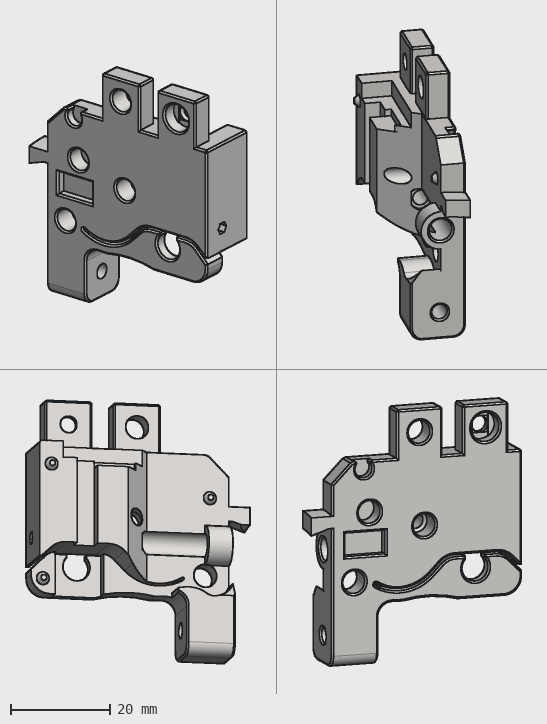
import cadquery as cq
import math


plate_right = 40.8
plate_top = 42.15
plate_depth = 5.1
corner_cut = 4.45
corner_cut_end = (4.15, 41.9)
corner_facet_end = 4.9
edge = 0.39
overlap = 0.5
reach = 62.55

tab_top = 52.1
tab_width = 9.75
tab_depth = 4.9
tab_left_x, tab_right_x = 18.85, 33.0
tab_hole_z = 47.25
counterbore_diameter = 6.0
counterbore_depth = 3.15
bridge_layer = 0.2

leg_width = 10.0
leg_depth = 11.35
leg_round = 2.5
leg_fillet = 2.9
leg_fillet_start = 9.85
leg_hole_y, leg_hole_z = 5.3, 5.8
screw_diameter = 3.2
dip_radius = 5.3
dip_end_angle = 259
dip_turn = (5.0, 12.15)
rise_middle = (6.0, 12.6)
rise_upper = (8.0, 13.5)
sill_left = (10.2, 13.65)
sill_right = (11.75, 13.5)
bevel_low, bevel_high = (11.45, 12.15), (7.7, 16.9)
bevel_length = 3.85

arm_bottom = 12.35
arm_tip_radius = 3.75
arm_root_bottom = 12.7
arm_hump = (20.5, 13.25)
arm_hump_start = 15.4
arm_flat_start = 27.15
arm_thin_depth = 2.55
arm_thin_width = 10.0
slit_width = 0.5
slit_valley = (14.6, 15.1)
slit_valley_radius = 9.65
slit_root_x = 9.5
slit_crest_z = 21.25
slit_crest_radius = 4.25
slit_crest_end = 35.35
slit_mouth_z = 18.5
clip_x, clip_z = 30.85, 18.5
clip_diameter = 5.6
clip_neck = 4.1

block_back = 13.2
ramp_start, ramp_end = 16.95, 22.5
upper_step_right, upper_step_y, upper_step_z = 35.9, 7.0, 38.9
lower_step_left, lower_step_y, lower_step_z = 20.3, 8.75, 37.5
notch_left, notch_right = 28.9, 33.1
notch_floor_y = 10.0

pin_hole_diameter = 4.7
pivot_x, pivot_z = 4.85, 17.35
blind_x, blind_z, blind_depth = 8.15, 31.55, 4.0
bore_x, bore_z = 19.9, 28.0
bore_diameter = 3.4
bore_wide_depth = 5.0
magnet_x, magnet_z = 6.95, 40.5
magnet_diameter = 3.65
magnet_depth = 2.15
magnet_neck = 2.9
pocket_x, pocket_z = 7.2, 25.1
pocket_width, pocket_height, pocket_depth = 8.55, 4.85, 2.0

barrel_z = 23.55
barrel_radius = 4.05
barrel_length = 4.95
screw_head_depth = 18.25
screw_shank_depth = 36.5
key_across_flats = 2.3

hook_tip_x = -4.4
hook_top_front, hook_top_back = 31.25, 31.75
hook_tip_bottom_front, hook_tip_bottom_back = 27.5, 28.15
hook_root = (-0.6, 28.75)
hook_bow = 0.1

cone_feet = ((3.9, 33.3, plate_depth), (38.35, 37.4, block_back), (38.35, 15.45, plate_depth))
foot_height = 1.0
foot_base, foot_tip = 2.6, 1.15


def front_sketch(y=0.0):
    """XZ workplane at depth y; a negative extrusion runs toward the rear."""
    return cq.Workplane("XZ", origin=(0, y, 0))


def box(x, y, z):
    """Box from (low, high) pairs along each axis."""
    size = (x[1] - x[0], y[1] - y[0], z[1] - z[0])
    return cq.Workplane("XY", origin=(x[0], y[0], z[0])).box(*size, centered=False)


def span(center, width):
    """(low, high) pair of the given width about a center."""
    return (center - width / 2, center + width / 2)


def rod_y(x, z, diameter, y_end):
    """Round bar along Y from the front face."""
    return front_sketch().center(x, z).circle(diameter / 2).extrude(-y_end)


def rod_x(y, z, diameter, x_end):
    """Round bar along X from the left side."""
    return cq.Workplane("YZ").center(y, z).circle(diameter / 2).extrude(x_end)


def cone(start, direction, length, start_diameter, end_diameter):
    """Truncated cone from a start point along a direction."""
    solid = cq.Solid.makeCone(
        start_diameter / 2, end_diameter / 2, length, cq.Vector(*start), cq.Vector(*direction)
    )
    return cq.Workplane(obj=solid)


def front_hole(x, z, diameter, depth):
    """Cutter for a hole from the front face with a chamfered mouth."""
    mouth = cone((x, 0, z), (0, 1, 0), edge, diameter + 2 * edge, diameter)
    return rod_y(x, z, diameter, depth).union(mouth)


def side_hole(y, z, diameter, depth):
    """Cutter for a hole from the left side with a chamfered mouth."""
    mouth = cone((0, y, z), (1, 0, 0), edge, diameter + 2 * edge, diameter)
    return rod_x(y, z, diameter, depth).union(mouth)


def on_circle(center, radius, degrees):
    """Point on a circle in XZ, with the angle measured from +X toward +Z."""
    angle = math.radians(degrees)
    return (center[0] + radius * math.cos(angle), center[1] + radius * math.sin(angle))


valley_center = (slit_valley[0], slit_valley[1] + slit_valley_radius)
crest_center_z = slit_crest_z - slit_crest_radius
crest_start = (
    valley_center[0]
    + (slit_valley_radius + slit_crest_radius) * math.sqrt(2)
    + crest_center_z
    - valley_center[1]
)
crest_left = (crest_start, crest_center_z)
crest_right = (slit_crest_end, crest_center_z)
slit_root_angle = 270 - math.degrees(math.asin((slit_valley[0] - slit_root_x) / slit_valley_radius))
valley_upper_radius = slit_valley_radius - slit_width / 2
valley_lower_radius = slit_valley_radius + slit_width / 2
crest_upper_radius = slit_crest_radius + slit_width / 2
crest_lower_radius = slit_crest_radius - slit_width / 2


def trace_upper_side(sketch):
    """Continue a sketch from the upper valley arc at 270 degrees along the slit to its mouth."""
    fall = on_circle(crest_right, crest_upper_radius, 45)
    return (
        sketch.threePointArc(
            on_circle(valley_center, valley_upper_radius, 292.5),
            on_circle(valley_center, valley_upper_radius, 315),
        )
        .lineTo(*on_circle(crest_left, crest_upper_radius, 135))
        .threePointArc(
            on_circle(crest_left, crest_upper_radius, 112.5), on_circle(crest_left, crest_upper_radius, 90)
        )
        .lineTo(*on_circle(crest_right, crest_upper_radius, 90))
        .threePointArc(on_circle(crest_right, crest_upper_radius, 67.5), fall)
        .lineTo(fall[0] + fall[1] - slit_mouth_z, slit_mouth_z)
    )


def slit():
    """Cutter for the slit, through the whole depth and out of the right side."""
    root_upper = on_circle(valley_center, valley_upper_radius, slit_root_angle)
    root_lower = on_circle(valley_center, valley_lower_radius, slit_root_angle)
    root_turn = math.degrees(slit_width / 2 / slit_valley_radius)
    root_tip = on_circle(valley_center, slit_valley_radius, slit_root_angle - root_turn)
    root_middle = (slit_root_angle + 270) / 2
    fall = on_circle(crest_right, crest_lower_radius, 45)
    outside = plate_right + overlap
    start = (
        front_sketch(-overlap)
        .moveTo(*root_upper)
        .threePointArc(
            on_circle(valley_center, valley_upper_radius, root_middle),
            on_circle(valley_center, valley_upper_radius, 270),
        )
    )
    return (
        trace_upper_side(start)
        .lineTo(outside, slit_mouth_z)
        .lineTo(outside, fall[0] + fall[1] - outside)
        .lineTo(*fall)
        .threePointArc(
            on_circle(crest_right, crest_lower_radius, 67.5), on_circle(crest_right, crest_lower_radius, 90)
        )
        .lineTo(*on_circle(crest_left, crest_lower_radius, 90))
        .threePointArc(
            on_circle(crest_left, crest_lower_radius, 112.5), on_circle(crest_left, crest_lower_radius, 135)
        )
        .lineTo(*on_circle(valley_center, valley_lower_radius, 315))
        .threePointArc(on_circle(valley_center, valley_lower_radius, 270), root_lower)
        .threePointArc(root_tip, root_upper)
        .close()
        .extrude(-reach)
    )


leg_fillet_center = (leg_width + leg_fillet, leg_fillet_start)


def plate():
    """Plate with leg and arm, before the slit is cut."""
    tip_center = (plate_right - arm_tip_radius, arm_bottom + arm_tip_radius)
    return (
        front_sketch()
        .moveTo(0, 0)
        .lineTo(leg_width, 0)
        .lineTo(leg_width, leg_fillet_start)
        .threePointArc(
            on_circle(leg_fillet_center, leg_fillet, 135), on_circle(leg_fillet_center, leg_fillet, 90)
        )
        .lineTo(arm_hump_start, arm_root_bottom)
        .threePointArc(arm_hump, (arm_flat_start, arm_bottom))
        .lineTo(tip_center[0], arm_bottom)
        .threePointArc(on_circle(tip_center, arm_tip_radius, 315), (plate_right, tip_center[1]))
        .lineTo(plate_right, plate_top - edge)
        .lineTo(plate_right - edge, plate_top)
        .lineTo(corner_facet_end, plate_top)
        .lineTo(*corner_cut_end)
        .lineTo(0, plate_top - corner_cut)
        .close()
        .extrude(-plate_depth)
    )


def leg_rear():
    """Thick rear of the leg; its top dips around the pivot hole and rises to a sill."""
    pivot = (pivot_x, pivot_z)
    dip_start_angle = 180 + math.degrees(math.acos(pivot_x / dip_radius))
    sill_angle = 180 - math.degrees(math.acos((leg_fillet_center[0] - sill_right[0]) / leg_fillet))
    body = (
        front_sketch(plate_depth - overlap)
        .moveTo(0, 0)
        .lineTo(leg_width, 0)
        .lineTo(leg_width, leg_fillet_start)
        .threePointArc(
            on_circle(leg_fillet_center, leg_fillet, (180 + sill_angle) / 2),
            on_circle(leg_fillet_center, leg_fillet, sill_angle),
        )
        .lineTo(*sill_right)
        .lineTo(*sill_left)
        .threePointArc(rise_upper, rise_middle)
        .threePointArc(dip_turn, on_circle(pivot, dip_radius, dip_end_angle))
        .threePointArc(
            on_circle(pivot, dip_radius, (dip_start_angle + dip_end_angle) / 2),
            on_circle(pivot, dip_radius, dip_start_angle),
        )
        .close()
        .extrude(plate_depth - overlap - leg_depth)
    )
    bevel = (
        cq.Workplane("YZ", origin=(-overlap, 0, 0))
        .polyline([bevel_high, bevel_low, (reach, bevel_low[1]), (reach, bevel_high[1])])
        .close()
        .extrude(overlap + bevel_length)
    )
    return body.cut(bevel)


def tab(center):
    """Tab with chamfered upright and top edges."""
    blank = box(span(center, tab_width), (0, tab_depth), (plate_top - overlap, tab_top))
    return blank.edges("|Z or >Z").chamfer(edge)


def block():
    """Thick rear block over the slit, with a sloped left end, a stepped top and a through notch."""
    start = (
        front_sketch()
        .moveTo(valley_center[0], plate_top)
        .lineTo(*on_circle(valley_center, valley_upper_radius, 270))
    )
    body_above_slit = (
        trace_upper_side(start)
        .lineTo(plate_right, slit_mouth_z)
        .lineTo(plate_right, plate_top - edge)
        .lineTo(plate_right - edge, plate_top)
        .close()
        .extrude(-block_back)
    )
    ramped = (
        cq.Workplane("XY")
        .moveTo(ramp_start, plate_depth - overlap)
        .lineTo(ramp_start, plate_depth)
        .lineTo(ramp_end, block_back)
        .lineTo(plate_right, block_back)
        .lineTo(plate_right, plate_depth - overlap)
        .close()
        .extrude(plate_top)
        .intersect(body_above_slit)
    )
    upper_step = box((0, upper_step_right), (upper_step_y, reach), (upper_step_z, reach))
    lower_step = box((lower_step_left, notch_left), (lower_step_y, reach), (lower_step_z, reach))
    notch = box((notch_left, notch_right), (notch_floor_y, reach), (0, reach))
    return ramped.cut(upper_step).cut(lower_step).cut(notch)


def hook():
    """Latch hook whose top and bottom bow down toward the front."""
    outline = (
        front_sketch()
        .moveTo(edge, plate_top)
        .lineTo(hook_tip_x, plate_top)
        .lineTo(hook_tip_x, hook_tip_bottom_front)
        .lineTo(*hook_root)
        .lineTo(edge, hook_root[1])
        .close()
        .extrude(-plate_depth)
    )
    top_middle = (hook_top_front + hook_top_back) / 2 + hook_bow
    bottom_middle = (hook_tip_bottom_front + hook_tip_bottom_back) / 2 + hook_bow
    bowed = (
        cq.Workplane("YZ", origin=(hook_tip_x, 0, 0))
        .moveTo(0, hook_top_front)
        .threePointArc((plate_depth / 2, top_middle), (plate_depth, hook_top_back))
        .lineTo(plate_depth, hook_tip_bottom_back)
        .threePointArc((plate_depth / 2, bottom_middle), (0, hook_tip_bottom_front))
        .close()
        .extrude(edge - hook_tip_x)
    )
    return outline.intersect(bowed)


def barrel():
    """Rear half of a round barrel around the screw channel."""
    rear = box((0, barrel_length), (plate_depth - overlap, reach), (0, reach))
    return rod_x(plate_depth, barrel_z, 2 * barrel_radius, barrel_length).intersect(rear)


def cone_foot(x, z, face_y):
    """Small cone foot standing on a rear face."""
    return cone((x, face_y, z), (0, 1, 0), foot_height, foot_base, foot_tip)


def magnet_seat():
    """Shallow round seat that opens through the top edge."""
    opening = box(span(magnet_x, magnet_neck), (0, magnet_depth), (magnet_z, plate_top + overlap))
    return rod_y(magnet_x, magnet_z, magnet_diameter, magnet_depth).union(opening)


def magnet_flare():
    """45 degree flare where the seat's neck meets the top edge."""
    half = magnet_neck / 2
    return (
        front_sketch()
        .center(magnet_x, plate_top)
        .polyline([(-half, -edge), (-half - edge, 0), (half + edge, 0), (half, -edge)])
        .close()
        .extrude(-magnet_depth)
    )


def clip_hole():
    """Round clip seat through the arm that opens up into the slit."""
    opening = box(span(clip_x, clip_neck), (0, plate_depth), (clip_z, slit_crest_z))
    return rod_y(clip_x, clip_z, clip_diameter, plate_depth).union(opening)


def arm_thinning():
    """Relief that thins the arm from the rear around the clip."""
    return box(span(clip_x, arm_thin_width), (arm_thin_depth, plate_depth), (0, slit_crest_z))


def tab_counterbore():
    """Counterbored hole with a slot step and a square step between its two diameters."""
    x, z = tab_right_x, tab_hole_z
    slot_end = counterbore_depth + bridge_layer
    square_end = slot_end + bridge_layer
    slot = box(span(x, bore_diameter), (0, slot_end), span(z, counterbore_diameter))
    slot = slot.intersect(rod_y(x, z, counterbore_diameter, slot_end))
    square = box(span(x, bore_diameter), (0, square_end), span(z, bore_diameter))
    wide = front_hole(x, z, counterbore_diameter, counterbore_depth)
    return wide.union(slot).union(square).union(rod_y(x, z, bore_diameter, plate_depth))


def bore():
    """Hole through plate and block that narrows by a 45 degree cone."""
    cone_length = (pin_hole_diameter - bore_diameter) / 2
    taper = cone((bore_x, bore_wide_depth, bore_z), (0, 1, 0), cone_length, pin_hole_diameter, bore_diameter)
    wide = front_hole(bore_x, bore_z, pin_hole_diameter, bore_wide_depth)
    return wide.union(taper).union(rod_y(bore_x, bore_z, bore_diameter, block_back))


def pocket():
    """Rectangular pocket with a chamfered mouth."""
    body = box(span(pocket_x, pocket_width), (0, pocket_depth), span(pocket_z, pocket_height))
    mouth = (
        front_sketch()
        .center(pocket_x, pocket_z)
        .rect(pocket_width + 2 * edge, pocket_height + 2 * edge)
        .extrude(-edge, taper=45)
    )
    return body.union(mouth)


def screw_channel():
    """Channel along X: head bore, shank hole and a hexagonal key passage out of the right side."""
    head = side_hole(plate_depth, barrel_z, pin_hole_diameter, screw_head_depth)
    shank = rod_x(plate_depth, barrel_z, screw_diameter, screw_shank_depth)
    key = (
        cq.Workplane("YZ")
        .center(plate_depth, barrel_z)
        .transformed(rotate=(0, 0, 30))
        .polygon(6, key_across_flats, circumscribed=True)
        .extrude(plate_right + overlap)
    )
    return head.union(shank).union(key)


frame = plate().union(leg_rear())
frame = frame.edges("|X and <Z").fillet(leg_round)
frame = frame.cut(slit()).cut(clip_hole()).cut(magnet_seat())
front_edges = frame.faces("<Y").edges().filter(lambda e: e.Center().z > leg_round + edge / 2)
frame = frame.newObject(front_edges.vals()).chamfer(edge)
frame = frame.cut(magnet_flare()).cut(arm_thinning())

result = frame.union(block()).union(hook()).union(barrel())
for tab_x in (tab_left_x, tab_right_x):
    result = result.union(tab(tab_x))
for foot_x, foot_z, foot_face in cone_feet:
    result = result.union(cone_foot(foot_x, foot_z, foot_face))

result = (
    result.cut(front_hole(tab_left_x, tab_hole_z, pin_hole_diameter, plate_depth))
    .cut(tab_counterbore())
    .cut(front_hole(blind_x, blind_z, pin_hole_diameter, blind_depth))
    .cut(front_hole(pivot_x, pivot_z, pin_hole_diameter, plate_depth))
    .cut(bore())
    .cut(pocket())
    .cut(side_hole(leg_hole_y, leg_hole_z, screw_diameter, leg_width))
    .cut(screw_channel())
)